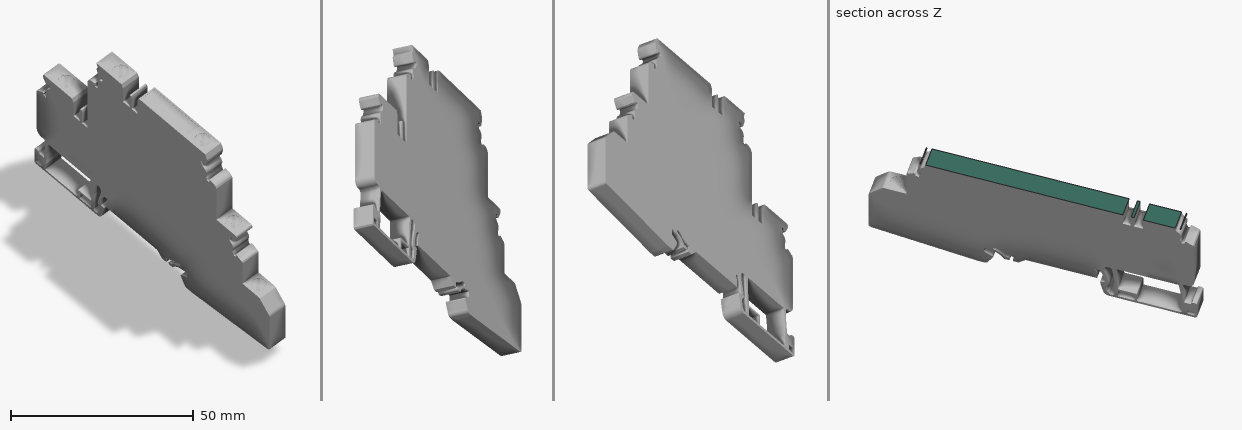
import cadquery as cq


LENGTH = 94.5
THICKNESS = 6.0
HEIGHT = 66.8

MIDDLE_TOP = 42.1
END_TOP = 23.5
BASE_BOTTOM = 13.1
RAIL_FACE = 6.8
FOOT_BOTTOM = 0.85
RAIL_GAP_LEFT = 26.65
RAIL_GAP_RIGHT = 28.7
CLIP_FLOOR = 0.85
CLIP_STEP_TOP = 4.1
CLIP_ROOT = 14.2
OPENING_FILLET = 0.4

UPPER_LEFT = 21.4
UPPER_CENTRE = LENGTH / 2
MIDDLE_LEFT = 0.85
MIDDLE_CENTRE = 42.2
MIDDLE_RIGHT = 2 * MIDDLE_CENTRE - MIDDLE_LEFT

SLOT_WIDTH = 5.8
UPPER_SLOT_LEFT = 35.5
SLOT_DEPTH = 7.2
SLOT_LEAD_IN_WIDTH = 0.6
SLOT_LEAD_IN_DEPTH = 1.3
FIN_OFFSET = 2.55
FIN_WIDTH = 0.9
FIN_TOP_GAP = 1.7
FIN_BEVEL_WIDTH = 0.2
FIN_BEVEL_HEIGHT = 0.85
POCKET_DEPTH = 0.2
WALL = 0.6
INNER_WIDTH = THICKNESS - 2 * WALL

LABEL_START = 42.4
LABEL_END = 60.2
LABEL_DEPTH = 0.1

SCREW_DIAMETER = 4.5
SCREW_RECESS = 0.1
DRIVE_WIDTH = 0.9
DRIVE_DEPTH = 0.2
DRIVE_ANGLE = -45
SCREWS = [
    (9.5, MIDDLE_TOP),
    (31.5, HEIGHT),
    (64.4, HEIGHT),
    (76.8, MIDDLE_TOP),
    (86.8, END_TOP),
]


def plate(start, steps):
    """Full-thickness plate. A step is an end point, or a (point on arc, end point) pair."""
    path = cq.Workplane("XZ").moveTo(*start)
    for step in steps:
        if isinstance(step[0], tuple):
            path = path.threePointArc(*step)
        else:
            path = path.lineTo(*step)
    return path.close().extrude(THICKNESS / 2, both=True)


def block(x_start, x_end, z_bottom, z_top, width=THICKNESS):
    """Box centred on the middle of the thickness."""
    size_x = x_end - x_start
    size_z = z_top - z_bottom
    return cq.Workplane("XY").box(size_x, width, size_z, centered=(False, True, False)).translate(
        (x_start, 0, z_bottom)
    )


def mirrored(body, centre):
    """Mirror image of a body about the vertical plane at X = centre."""
    return body.mirror("YZ", (centre, 0, 0))


def upper_half(lip):
    """Left half of the upper tier, with its lip shape given, down into the middle tier."""
    notch = [
        (25.6, 62.2),
        ((26.0, 61.9), (26.3, 62.0)),
        (26.3, 62.5),
        (27.1, 62.6),
        ((27.6, 62.5), (27.7, 62.0)),
        (26.9, 60.6),
        ((25.6, 59.7), (25.6, 58.0)),
        (25.6, 57.1),
        (25.1, 55.9),
        (24.3, 55.9),
        (24.2, 57.2),
        (23.2, 57.2),
        ((22.4, 56.9), (21.6, 56.3)),
        (UPPER_LEFT, 55.8),
        (UPPER_LEFT, END_TOP),
        (UPPER_CENTRE, END_TOP),
    ]
    return plate((UPPER_CENTRE, HEIGHT), lip + notch)


def middle_half():
    """Left half of the middle tier, down to the level of the right-hand step."""
    steps = [
        (4.0, MIDDLE_TOP),
        ((3.5, 42.0), (3.3, 41.5)),
        ((3.3, 41.0), (3.5, 40.6)),
        (4.4, 39.0),
        (5.0, 38.9),
        (5.1, 39.5),
        (5.8, 39.6),
        ((6.2, 39.4), (6.2, 38.9)),
        (6.05, 37.8),
        (5.5, 37.3),
        ((4.6, 36.3), (4.7, 35.0)),
        (4.9, 34.2),
        (4.4, 32.7),
        (3.4, 33.1),
        (3.6, 33.8),
        (3.0, 33.9),
        ((2.1, 33.4), (1.1, 33.0)),
        (MIDDLE_LEFT, 32.5),
        (MIDDLE_LEFT, END_TOP),
        (MIDDLE_CENTRE, END_TOP),
    ]
    return plate((MIDDLE_CENTRE, MIDDLE_TOP), steps)


def base():
    """Lower body: end step at the right, sloping foot, rail hook and sprung rail latch."""
    steps = [
        (89.9, END_TOP),
        ((90.3, 23.4), (90.7, 23.15)),
        (94.1, 19.6),
        ((94.4, 19.1), (LENGTH, 18.7)),
        (LENGTH, 4.8),
        ((94.2, 4.2), (93.7, 4.0)),
        (63.1, FOOT_BOTTOM),
        (61.0, FOOT_BOTTOM),
        ((60.5, 1.1), (60.1, 1.7)),
        (58.7, 4.2),
        (58.9, 4.6),
        (61.2, 5.9),
        (61.2, 7.7),
        (58.2, 7.1),
        ((56.6, 6.1), (55.6, 4.8)),
        (54.6, 4.8),
        ((53.9, 5.5), (54.3, 6.0)),
        (55.1, 5.9),
        ((56.6, 7.2), (58.5, 8.0)),
        ((58.7, 8.5), (58.4, 8.9)),
        ((56.9, 8.7), (55.6, 7.8)),
        (54.15, 7.1),
        (52.7, 6.7),
        (52.6, 6.05),
        (52.9, 5.8),
        (52.9, 4.8),
        (51.3, 4.8),
        (49.3, RAIL_FACE),
        (RAIL_GAP_RIGHT, RAIL_FACE),
        (RAIL_GAP_RIGHT, 8.9),
        (29.4, 10.8),
        (28.2, 10.8),
        ((27.0, 8.8), (RAIL_GAP_LEFT, 6.6)),
        (RAIL_GAP_LEFT, BASE_BOTTOM),
        (4.3, BASE_BOTTOM),
        ((4.0, 13.6), (3.4, 13.8)),
        (2.7, 13.8),
        ((1.4, 14.4), (MIDDLE_LEFT, 15.7)),
        (MIDDLE_LEFT, END_TOP),
    ]
    return plate((MIDDLE_RIGHT, END_TOP), steps)


def clip_frame():
    """Outer shape of the clip, its top buried in the base."""
    steps = [
        (0.5, 0),
        (25.1, 0),
        ((26.3, 0.4), (26.9, 1.2)),
        (27.6, 3.8),
        (27.9, 5.5),
        (RAIL_GAP_LEFT, 5.8),
        (RAIL_GAP_LEFT, 7.5),
        ((27.1, 9.2), (28.2, 10.8)),
        (28.2, CLIP_ROOT),
        (4.3, CLIP_ROOT),
        (4.3, 12.9),
        ((4.2, 9.3), (3.7, 5.7)),
        (1.8, 5.7),
        (1.4, 6.5),
        (0.5, 6.5),
        ((0.2, 6.4), (0, 6.05)),
    ]
    return plate((0, 0.4), steps)


def clip_window():
    """Large opening of the clip, with a step at its lower right."""
    steps = [
        (23.0, BASE_BOTTOM),
        ((23.2, 12.9), (23.3, 12.5)),
        ((23.2, 8.5), (22.8, 4.5)),
        ((22.7, 4.2), (22.3, CLIP_STEP_TOP)),
        (17.8, CLIP_STEP_TOP),
        ((17.4, 4.0), (17.3, 3.6)),
        (17.3, 1.3),
        ((17.2, 0.9), (16.8, CLIP_FLOOR)),
        (4.8, CLIP_FLOOR),
        ((4.4, 0.9), (4.3, 1.3)),
        (4.7, 3.8),
        (4.5, 5.1),
        (4.5, 7.6),
        ((4.8, 10.4), (5.2, 12.7)),
        ((5.3, 13.0), (5.7, BASE_BOTTOM)),
    ]
    return plate((5.7, BASE_BOTTOM), steps)


def spring_slot():
    """Long narrow opening that frees the sprung leg at the right of the clip."""
    steps = [
        ((26.2, 12.9), (RAIL_GAP_LEFT, 12.3)),
        (RAIL_GAP_LEFT, 11.1),
        (25.5, 6.8),
        (25.3, 5.3),
        (26.2, 4.3),
        (26.2, 3.1),
        (25.9, 1.8),
        (25.0, CLIP_FLOOR),
        (24.1, CLIP_FLOOR),
        (23.7, 1.3),
        (23.8, 4.25),
        (23.7, 7.75),
        (24.5, 12.5),
        ((24.7, 12.9), (25.1, BASE_BOTTOM)),
    ]
    return plate((25.5, BASE_BOTTOM), steps)


def foot_openings():
    """Small openings at both lower corners of the clip."""
    left = block(0.6, 2.8, CLIP_FLOOR, 2.55).edges("|Y").fillet(OPENING_FILLET)
    right = block(18.0, 22.8, CLIP_FLOOR, 3.4).edges("|Y and <X and >Z").fillet(OPENING_FILLET)
    return left.union(right)


def slot_opening(left, top, right_lead_in):
    """Bridge slot with a beveled lead-in at its left edge and, if wanted, its right edge."""
    right = left + SLOT_WIDTH
    floor = top - SLOT_DEPTH
    bevel_bottom = top - SLOT_LEAD_IN_DEPTH
    right_mouth = right + right_lead_in
    steps = [
        (right, floor),
        (right, bevel_bottom),
        (right_mouth, top),
        (left - SLOT_LEAD_IN_WIDTH, top),
        (left, bevel_bottom),
    ]
    return plate((left, floor), steps)


def slot_pockets(left, top):
    """Pockets in the slot floor, one on each side of the fin."""
    floor = top - SLOT_DEPTH
    fin_left = left + FIN_OFFSET
    right = left + SLOT_WIDTH
    first = block(left, fin_left, floor - POCKET_DEPTH, floor, INNER_WIDTH)
    second = block(fin_left + FIN_WIDTH, right, floor - POCKET_DEPTH, floor, INNER_WIDTH)
    return first.union(second)


def slot_fin(left, top):
    """Thin upright fin standing in the slot, tapered towards its tip."""
    fin_left = left + FIN_OFFSET
    fin_right = fin_left + FIN_WIDTH
    tip = top - FIN_TOP_GAP
    root = top - SLOT_DEPTH - POCKET_DEPTH
    steps = [
        (fin_right, root),
        (fin_right, tip - FIN_BEVEL_HEIGHT),
        (fin_right - FIN_BEVEL_WIDTH, tip),
        (fin_left + FIN_BEVEL_WIDTH, tip),
        (fin_left, tip - FIN_BEVEL_HEIGHT),
    ]
    return plate((fin_left, root), steps)


def screw_recess(x, top):
    """Round screw head sunk just below the surface, with a slanted drive slot."""
    head = cq.Workplane("XY").circle(SCREW_DIAMETER / 2).extrude(-SCREW_RECESS)
    bar = cq.Workplane("XY").rect(SCREW_DIAMETER, DRIVE_WIDTH).extrude(-DRIVE_DEPTH)
    disc = cq.Workplane("XY").circle(SCREW_DIAMETER / 2).extrude(-DRIVE_DEPTH)
    drive = bar.intersect(disc).rotate((0, 0, 0), (0, 0, 1), DRIVE_ANGLE)
    return head.union(drive).translate((x, 0, top))


left_lip = [(24.8, HEIGHT), (25.4, 65.4), (24.9, 64.3)]
right_lip = [(25.9, HEIGHT), (25.0, 65.0), (25.0, 64.2)]

result = base()
result = result.union(upper_half(left_lip))
result = result.union(mirrored(upper_half(right_lip), UPPER_CENTRE))
result = result.union(middle_half())
result = result.union(mirrored(middle_half(), MIDDLE_CENTRE))
result = result.union(clip_frame())
result = result.cut(clip_window()).cut(spring_slot()).cut(foot_openings())

slots = [
    (UPPER_LEFT - SLOT_WIDTH, MIDDLE_TOP, 0),
    (UPPER_SLOT_LEFT, HEIGHT, SLOT_LEAD_IN_WIDTH),
]
for slot_left, slot_top, right_lead_in in slots:
    result = result.cut(slot_opening(slot_left, slot_top, right_lead_in))
    result = result.cut(slot_pockets(slot_left, slot_top))
    result = result.union(slot_fin(slot_left, slot_top))

result = result.cut(block(LABEL_START, LABEL_END, HEIGHT - LABEL_DEPTH, HEIGHT, INNER_WIDTH))

for screw_x, screw_top in SCREWS:
    result = result.cut(screw_recess(screw_x, screw_top))